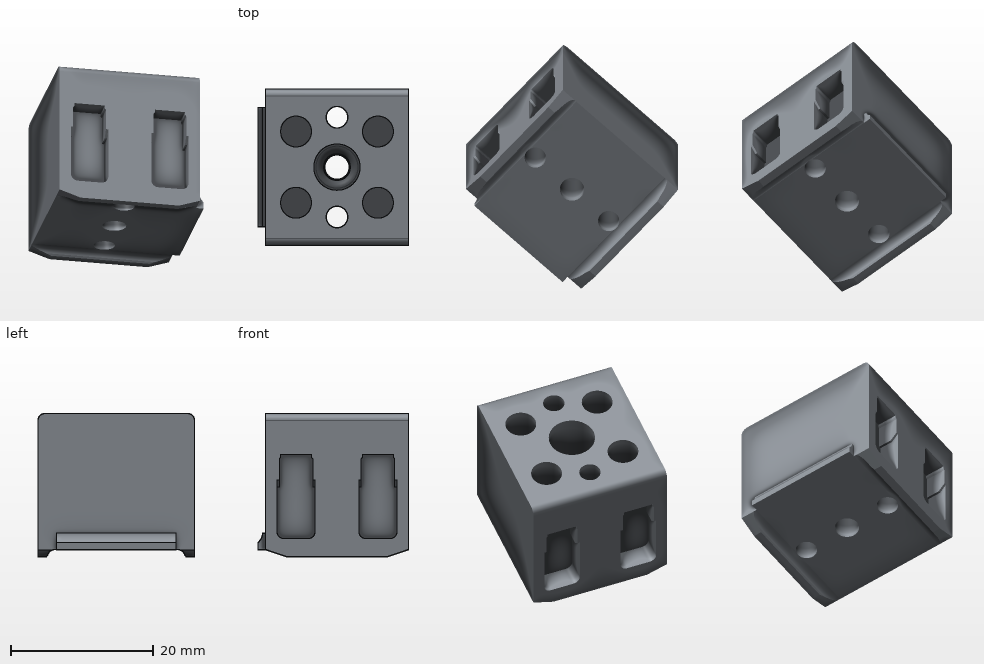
import cadquery as cq

body_width = 20.1
body_depth = 22.0
body_height = 20.15
top_edge_radius = 1.0
bottom_chamfer_width = 3.0
bottom_chamfer_height = 1.0

channel_height = bottom_chamfer_height
channel_lip = 1.2
channel_step_height = 0.25
channel_step_width = 0.18
channel_arc_width = 1.2
channel_arc_sag = 0.28

rail_length = 16.8
rail_reach = 1.05
rail_bottom = bottom_chamfer_height
rail_face_height = 1.0
rail_height = 2.35
rail_crest = 0.4
rail_arc_sag = 0.15

screw_hole_diameter = 4.33
screw_pitch_x = 11.5
screw_pitch_y = 10.0
screw_hole_depth = 10.0
pin_hole_diameter = 3.0
pin_pitch_y = 14.0

mount_bore_diameter = 6.5
mount_bore_depth = 10.0
seat_outer_diameter = 5.9
seat_inner_diameter = 3.75
mount_hole_diameter = 3.4

pocket_depth = 3.0
pocket_floor = 2.56
pocket_wide_width = 5.35
pocket_narrow_width = 4.7
pocket_top_width = screw_hole_diameter
pocket_shoulder_front = 10.8
pocket_shoulder_drop = 1.0
pocket_taper_start = 13.75
pocket_taper_end = 14.0
pocket_top = 14.4
pocket_corner_radius = 1.0


def make_body():
    """Block with rounded upper long edges and sloped lower X ends."""
    half_width = body_width / 2
    flat_half_width = half_width - bottom_chamfer_width
    outline = (
        cq.Workplane("XZ")
        .moveTo(-flat_half_width, 0)
        .lineTo(flat_half_width, 0)
        .lineTo(half_width, bottom_chamfer_height)
        .lineTo(half_width, body_height)
        .lineTo(-half_width, body_height)
        .lineTo(-half_width, bottom_chamfer_height)
        .close()
    )
    block = outline.extrude(body_depth / 2, both=True)
    return block.faces(">Z").edges("|X").fillet(top_edge_radius)


def make_channel():
    """Underside channel with sloped lips and hollow-curved shoulders."""
    mouth = body_depth / 2 - channel_lip
    arc_start = mouth - channel_step_width
    arc_end = arc_start - channel_arc_width
    return (
        cq.Workplane("YZ")
        .moveTo(-mouth, 0)
        .lineTo(-arc_start, channel_step_height)
        .sagittaArc((-arc_end, channel_height), channel_arc_sag)
        .lineTo(arc_end, channel_height)
        .sagittaArc((arc_start, channel_step_height), channel_arc_sag)
        .lineTo(mouth, 0)
        .close()
        .extrude(body_width / 2, both=True)
    )


def make_rail():
    """Locking rail with a hollow-curved upper flank."""
    wall = -body_width / 2
    rail_top = rail_bottom + rail_height
    return (
        cq.Workplane("XZ")
        .moveTo(wall, rail_bottom)
        .lineTo(wall - rail_reach, rail_bottom)
        .lineTo(wall - rail_reach, rail_bottom + rail_face_height)
        .sagittaArc((wall - rail_crest, rail_top), -rail_arc_sag)
        .lineTo(wall, rail_top)
        .close()
        .extrude(rail_length / 2, both=True)
    )


def make_mount_hole():
    """Revolved cutter for the central hole, with a convex rounded seat."""
    seat_radius = (seat_outer_diameter - seat_inner_diameter) / 2
    seat_level = body_height - mount_bore_depth
    ring_level = seat_level - seat_radius
    return (
        cq.Workplane("XZ")
        .moveTo(0, 0)
        .lineTo(mount_hole_diameter / 2, 0)
        .lineTo(mount_hole_diameter / 2, ring_level)
        .lineTo(seat_inner_diameter / 2, ring_level)
        .radiusArc((seat_outer_diameter / 2, seat_level), seat_radius)
        .lineTo(mount_bore_diameter / 2, seat_level)
        .lineTo(mount_bore_diameter / 2, body_height)
        .lineTo(0, body_height)
        .close()
        .revolve(360, (0, 0, 0), (0, 1, 0))
    )


def make_pocket():
    """Cutter for one wire pocket in the -Y side, centred on X = 0."""
    front = -body_depth / 2
    back = front + pocket_depth
    shoulder_back = pocket_shoulder_front - pocket_shoulder_drop

    lower = (
        cq.Workplane("YZ")
        .moveTo(front, pocket_floor)
        .lineTo(back, pocket_floor)
        .lineTo(back, shoulder_back)
        .lineTo(front + pocket_shoulder_drop, shoulder_back)
        .lineTo(front, pocket_shoulder_front)
        .close()
        .extrude(pocket_wide_width / 2, both=True)
        .faces("<Z")
        .edges("|Y")
        .fillet(pocket_corner_radius)
    )

    half_narrow = pocket_narrow_width / 2
    half_top = pocket_top_width / 2
    upper = (
        cq.Workplane("XZ", origin=(0, front, 0))
        .moveTo(-half_narrow, pocket_floor + pocket_corner_radius)
        .lineTo(half_narrow, pocket_floor + pocket_corner_radius)
        .lineTo(half_narrow, pocket_taper_start)
        .lineTo(half_top, pocket_taper_end)
        .lineTo(half_top, pocket_top)
        .lineTo(-half_top, pocket_top)
        .lineTo(-half_top, pocket_taper_end)
        .lineTo(-half_narrow, pocket_taper_start)
        .close()
        .extrude(-pocket_depth)
    )
    return lower.union(upper)


def cut_vertical_holes(part):
    """Blind screw holes, through pin holes and the central mounting hole."""
    top = cq.Workplane("XY", origin=(0, 0, body_height))
    screw_holes = (
        top.rarray(screw_pitch_x, screw_pitch_y, 2, 2)
        .circle(screw_hole_diameter / 2)
        .extrude(-screw_hole_depth)
    )
    pin_holes = (
        top.pushPoints([(0, -pin_pitch_y / 2), (0, pin_pitch_y / 2)])
        .circle(pin_hole_diameter / 2)
        .extrude(-body_height)
    )
    return part.cut(screw_holes).cut(pin_holes).cut(make_mount_hole())


def cut_pockets(part):
    """Two wire pockets on the -Y side and their mirror images on the +Y side."""
    for offset in (-screw_pitch_x / 2, screw_pitch_x / 2):
        pocket = make_pocket().translate((offset, 0, 0))
        part = part.cut(pocket).cut(pocket.mirror("XZ"))
    return part


housing = make_body().cut(make_channel()).union(make_rail())
result = cut_pockets(cut_vertical_holes(housing))